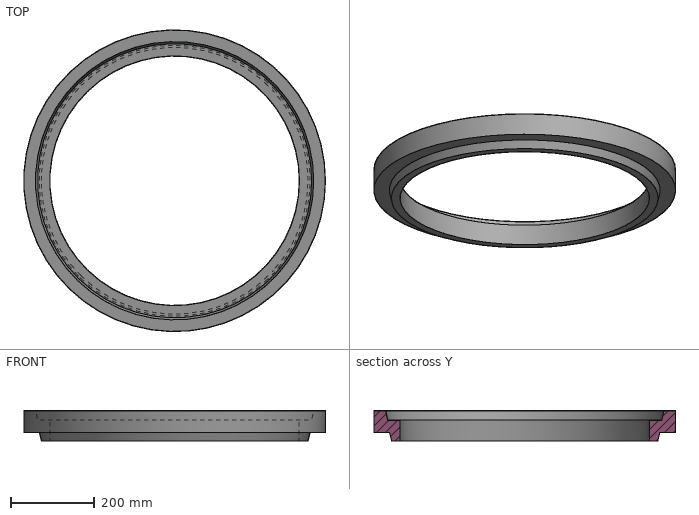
import cadquery as cq

outer_radius = 363.0
bore_radius = 300.0
total_height = 73.0

spigot_height = 20.0
spigot_top_radius = 326.0
spigot_bottom_radius = 321.0

seat_depth = 23.0
seat_top_radius = 335.0
seat_bottom_radius = 329.5

seat_level = total_height - seat_depth

section = (
    cq.Workplane("XZ")
    .moveTo(bore_radius, 0)
    .lineTo(spigot_bottom_radius, 0)
    .lineTo(spigot_top_radius, spigot_height)
    .lineTo(outer_radius, spigot_height)
    .lineTo(outer_radius, total_height)
    .lineTo(seat_top_radius, total_height)
    .lineTo(seat_bottom_radius, seat_level)
    .lineTo(bore_radius, seat_level)
    .close()
)

result = section.revolve(360, (0, 0, 0), (0, 1, 0))